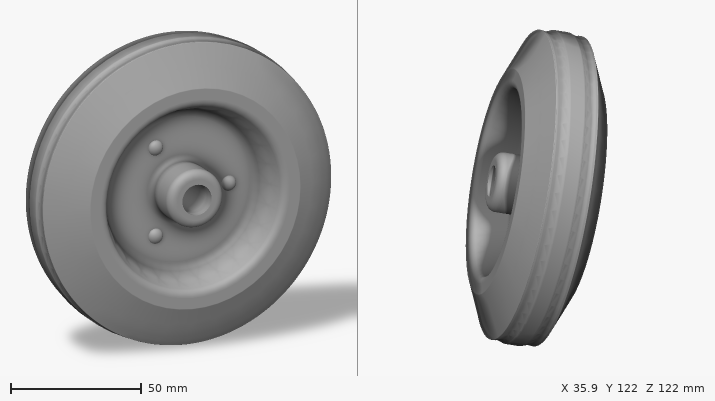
import cadquery as cq
import math

AXIS_START = (0, 0, 0)
AXIS_END = (1, 0, 0)

hub_length = 35.9
bore_radius = 6.1
hub_radius = 11.6
hub_end_fillet = 3.3
hub_foot_fillet = 2.2

web_thickness = 3.0
rim_width = 32.7
rim_radius = 41.9
dish_mouth_radius = 37.2
dish_floor_radius = 31.4
dish_fillet = 3.3

rivet_count = 3
rivet_circle_radius = 20.4
rivet_radius = 3.0
rivet_height = 2.0

tyre_radius = 61.0
flank_inner_radius = 43.9
shoulder_radius = 60.3
shoulder_half_width = 8.4
flank_inner_fillet = 0.6
shoulder_fillet = 0.4
rib_half_width = 3.0
groove_outer_half_width = 7.5
groove_bottom_radius = 60.0
rib_edge_fillet = 1.5
groove_edge_fillet = 1.0

half_hub = hub_length / 2
half_web = web_thickness / 2
half_rim = rim_width / 2


def circle_edges(body, x, radius):
    """Select the circular edges of a turned body at +x and -x with the given radius."""
    margin = 0.01
    found = []
    for edge in body.edges("%CIRCLE").vals():
        at_x = abs(abs(edge.Center().x) - x) < margin
        if at_x and abs(edge.radius() - radius) < margin:
            found.append(edge)
    return body.newObject(found)


def make_wheel():
    """Hub, web and dished rim in one piece, with the rivet heads."""
    half_profile = [
        (half_hub, bore_radius),
        (half_hub, hub_radius),
        (half_web, hub_radius),
        (half_web, dish_floor_radius),
        (half_rim, dish_mouth_radius),
        (half_rim, rim_radius),
    ]
    mirrored = [(-x, r) for x, r in reversed(half_profile)]
    wheel = cq.Workplane("XY").polyline(half_profile + mirrored).close()
    wheel = wheel.revolve(360, AXIS_START, AXIS_END)

    rounded_edges = [
        (half_hub, hub_radius, hub_end_fillet),
        (half_web, hub_radius, hub_foot_fillet),
        (half_web, dish_floor_radius, dish_fillet),
        (half_rim, dish_mouth_radius, dish_fillet),
    ]
    for x, radius, fillet in rounded_edges:
        wheel = circle_edges(wheel, x, radius).fillet(fillet)

    for index in range(rivet_count):
        wheel = wheel.union(make_rivet(index * 360 / rivet_count))
    return wheel


def make_rivet(angle):
    """Rivet with a domed head standing on each face of the web; angle is measured from +Y."""
    tip = half_web + rivet_height
    dome_radius = (rivet_radius**2 + rivet_height**2) / (2 * rivet_height)
    dome_center = tip - dome_radius
    half_angle = math.asin(rivet_radius / dome_radius) / 2
    dome_mid = (dome_center + dome_radius * math.cos(half_angle), dome_radius * math.sin(half_angle))
    rivet = (
        cq.Workplane("XY")
        .moveTo(-tip, 0)
        .threePointArc((-dome_mid[0], dome_mid[1]), (-half_web, rivet_radius))
        .lineTo(half_web, rivet_radius)
        .threePointArc(dome_mid, (tip, 0))
        .close()
        .revolve(360, AXIS_START, AXIS_END)
    )
    return rivet.translate((0, rivet_circle_radius, 0)).rotate(AXIS_START, AXIS_END, angle)


def make_tyre():
    """Tyre with conical flanks and a central tread rib between two shallow hollow grooves."""
    groove_mid = (rib_half_width + groove_outer_half_width) / 2
    tyre = (
        cq.Workplane("XY")
        .moveTo(-half_rim, rim_radius)
        .lineTo(-half_rim, flank_inner_radius)
        .lineTo(-shoulder_half_width, shoulder_radius)
        .lineTo(-groove_outer_half_width, shoulder_radius)
        .threePointArc((-groove_mid, groove_bottom_radius), (-rib_half_width, tyre_radius))
        .lineTo(rib_half_width, tyre_radius)
        .threePointArc((groove_mid, groove_bottom_radius), (groove_outer_half_width, shoulder_radius))
        .lineTo(shoulder_half_width, shoulder_radius)
        .lineTo(half_rim, flank_inner_radius)
        .lineTo(half_rim, rim_radius)
        .close()
        .revolve(360, AXIS_START, AXIS_END)
    )
    rounded_edges = [
        (half_rim, flank_inner_radius, flank_inner_fillet),
        (shoulder_half_width, shoulder_radius, shoulder_fillet),
        (rib_half_width, tyre_radius, rib_edge_fillet),
        (groove_outer_half_width, shoulder_radius, groove_edge_fillet),
    ]
    for x, radius, fillet in rounded_edges:
        tyre = circle_edges(tyre, x, radius).fillet(fillet)
    return tyre


wheel = make_wheel()
tyre = make_tyre()
result = cq.Compound.makeCompound([wheel.val(), tyre.val()])